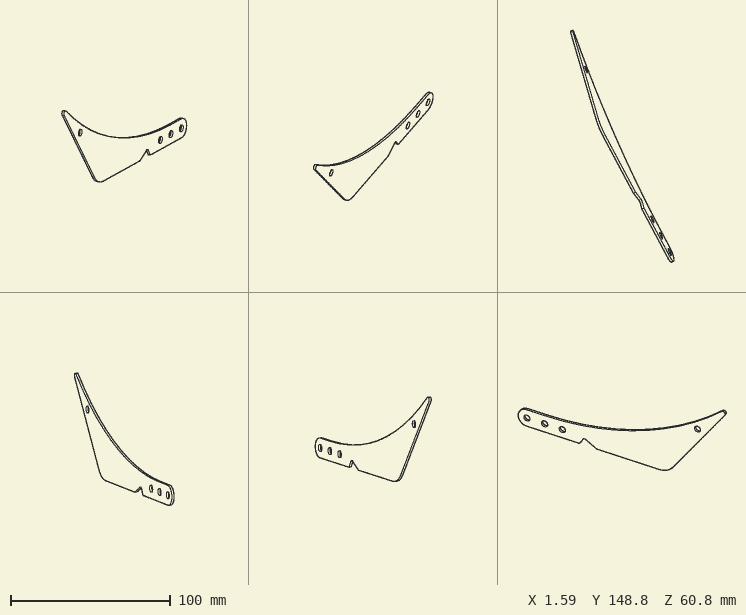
import cadquery as cq
import math


thickness = 1.59
length = 148.85
height = 60.81

handle_width = 12.7
end_radius = handle_width / 2
handle_hole_diameter = 4.37
handle_hole_count = 3
handle_hole_pitch = 12.7

sweep_radius = 190.5

tip_radius = 1.59
slant_angle = math.radians(55)
heel_radius = 12.7
tip_hole_diameter = 4.19
tip_hole_center = (128.9, 40.77)

notch_start = 44.2
notch_width = 12.3
notch_steep_angle = math.radians(60)
notch_radius = 1.59


def point_on_circle(center, radius, angle):
    return (center[0] + radius * math.cos(angle), center[1] + radius * math.sin(angle))


tip_center = (length - tip_radius, height - tip_radius)

sweep_center_up = handle_width + sweep_radius
sweep_rise = sweep_center_up - tip_center[1]
sweep_run = math.sqrt((sweep_radius + tip_radius) ** 2 - sweep_rise ** 2)
sweep_center = (tip_center[0] - sweep_run, sweep_center_up)
sweep_start_angle = -math.pi / 2
sweep_end_angle = math.atan2(-sweep_rise, sweep_run)
sweep_mid_angle = (sweep_start_angle + sweep_end_angle) / 2

tip_lower_angle = slant_angle - math.pi / 2
tip_upper_angle = sweep_end_angle + math.pi
tip_mid_angle = (tip_lower_angle + tip_upper_angle) / 2
slant_top = point_on_circle(tip_center, tip_radius, tip_lower_angle)
heel_corner = (slant_top[0] - slant_top[1] / math.tan(slant_angle), 0)

notch_side = notch_width * math.cos(notch_steep_angle)
notch_corner = point_on_circle((notch_start, 0), notch_side, notch_steep_angle)

profile_plane = cq.Plane(origin=(0, 0, 0), xDir=(0, -1, 0), normal=(-1, 0, 0))


def make_plate():
    return (
        cq.Workplane(profile_plane)
        .moveTo(end_radius, handle_width)
        .lineTo(sweep_center[0], handle_width)
        .threePointArc(
            point_on_circle(sweep_center, sweep_radius, sweep_mid_angle),
            point_on_circle(sweep_center, sweep_radius, sweep_end_angle),
        )
        .threePointArc(point_on_circle(tip_center, tip_radius, tip_mid_angle), slant_top)
        .lineTo(*heel_corner)
        .lineTo(notch_start + notch_width, 0)
        .lineTo(*notch_corner)
        .lineTo(notch_start, 0)
        .lineTo(end_radius, 0)
        .threePointArc((0, end_radius), (end_radius, handle_width))
        .close()
        .extrude(thickness)
    )


def round_corner(plate, corner, radius):
    """Fillet the edge that runs through the thickness at a profile corner."""
    edge_middle = profile_plane.toWorldCoords((corner[0], corner[1], thickness / 2))
    return plate.edges("|X").edges(cq.NearestToPointSelector(edge_middle.toTuple())).fillet(radius)


def drill(plate, centers, diameter):
    pins = cq.Workplane(profile_plane).pushPoints(centers).circle(diameter / 2).extrude(thickness)
    return plate.cut(pins)


handle_hole_centers = [
    (end_radius + index * handle_hole_pitch, end_radius) for index in range(handle_hole_count)
]

result = make_plate()
result = round_corner(result, heel_corner, heel_radius)
result = round_corner(result, notch_corner, notch_radius)
result = drill(result, handle_hole_centers, handle_hole_diameter)
result = drill(result, [tip_hole_center], tip_hole_diameter)